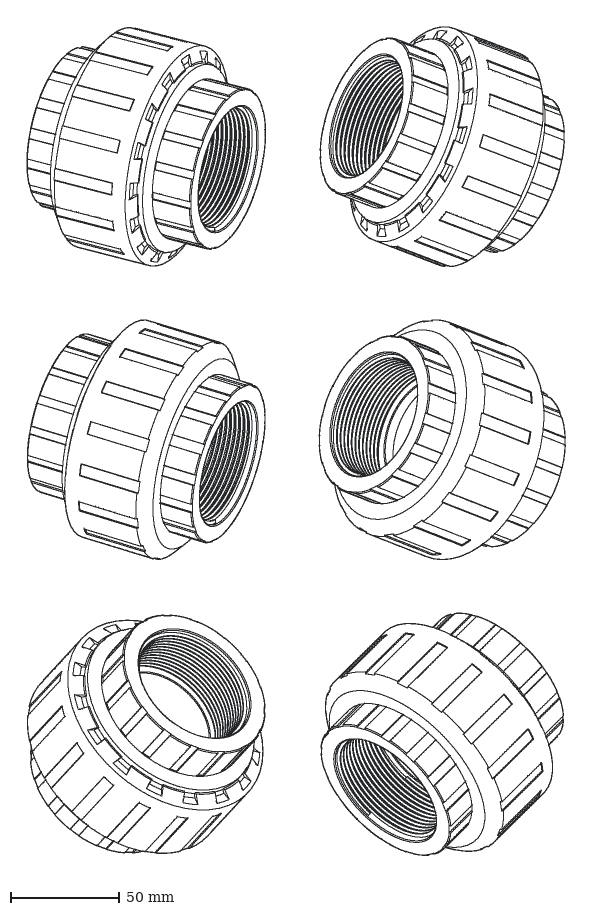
import cadquery as cq
import math


total_length = 85.3
nut_start = 16.3
nut_end = 61.5
joint_x = 35.1

sleeve_radius = 38.3
sleeve_chamfer = 0.5
grip_count = 16
grip_pitch = 360 / grip_count
sleeve_groove_depth = 0.7
tail_groove_width = 5.0
fixed_sleeve_groove_width = 3.9

bore_radius = 25.6
bore_chamfer = 0.4
liner_radius = 32.5
socket_radius = 29.8
socket_chamfer = 0.5
socket_depth = 29.8
thread_crest_radius = 28.3
thread_pitch = 2.3
thread_turns = 12
thread_start = 2.1
thread_root_width = 1.8
thread_crest_width = 0.5
thread_start_angle = 21.5
thread_embed = 0.2

flange_radius = 43.0
lip_thickness = 6.8
collar_radius = 44.7
collar_edge_x = 63.8
collar_end = 65.5
collar_end_radius = 38.8

nut_radius = 52.4
nut_face_radius = 45.8
nut_face_length = 5.6
nut_tip_radius = 45.6
nut_tip_length = 2.8
nut_groove_angle = 7.5
nut_groove_depth = 0.6
nut_groove_width = 6.0
nut_groove_end = 51.6
notch_start = 59.6
notch_floor_radius = 46.4
notch_floor_end = 60.8
notch_floor_width = 6.1
notch_flare = 12.0

flange_start = nut_start + lip_thickness


def revolve_about_x(points):
    """Solid of revolution about X from (x, radius) points."""
    return cq.Workplane("XY").polyline(points).close().revolve(360, (0, 0, 0), (1, 0, 0))


def repeat_about_x(cutter, first_angle):
    """Copies of a cutter spaced evenly around the X axis."""
    copies = []
    for i in range(grip_count):
        copy = cutter.rotate((0, 0, 0), (1, 0, 0), first_angle + i * grip_pitch)
        copies.append(copy.val())
    return cq.Workplane("XY").newObject([cq.Compound.makeCompound(copies)])


def grip_groove(x_start, x_end, floor_radius, outer_radius, width):
    """Straight groove cutter on the -Y side with a round floor."""
    bar = cq.Workplane("XY").box(x_end - x_start, outer_radius, width, centered=(False, False, True))
    bar = bar.translate((x_start, -outer_radius, 0))
    core = cq.Workplane("YZ", origin=(x_start, 0, 0)).circle(floor_radius).extrude(x_end - x_start)
    return bar.cut(core)


def sleeve_groove(x_start, x_end, width):
    """Groove cutter for the grip of a sleeve."""
    return grip_groove(x_start, x_end, sleeve_radius - sleeve_groove_depth, flange_radius, width)


def turn_end_for_end(part):
    """Carry a feature from the tail's end of the union to the opposite end."""
    return part.rotate((total_length / 2, 0, 0), (total_length / 2, 0, 1), 180)


def socket_cutter():
    """Plain socket opening at X = 0, with a chamfered mouth."""
    mouth_radius = socket_radius + socket_chamfer
    return revolve_about_x([
        (0, 0),
        (0, mouth_radius),
        (socket_chamfer, socket_radius),
        (socket_depth, socket_radius),
        (socket_depth, bore_radius + bore_chamfer),
        (socket_depth + bore_chamfer, bore_radius),
        (socket_depth + bore_chamfer, 0),
    ])


def socket_thread():
    """Right-hand thread ridge standing inward from the socket wall."""
    root_radius = socket_radius + thread_embed
    half_root = thread_root_width / 2
    half_crest = thread_crest_width / 2
    path = cq.Wire.makeHelix(thread_pitch, thread_turns * thread_pitch, socket_radius)
    ridge = (
        cq.Workplane("XZ")
        .polyline([
            (root_radius, -half_root),
            (thread_crest_radius, -half_crest),
            (thread_crest_radius, half_crest),
            (root_radius, half_root),
        ])
        .close()
        .sweep(cq.Workplane("XY").newObject([path]), isFrenet=True)
    )
    ridge = ridge.rotate((0, 0, 0), (0, 1, 0), 90)
    ridge = ridge.rotate((0, 0, 0), (1, 0, 0), thread_start_angle)
    return ridge.translate((thread_start, 0, 0))


def threaded_liner(length):
    """Inner wall of a sleeve: socket at X = 0 with its thread, then the plain bore."""
    liner = cq.Workplane("YZ").circle(liner_radius).circle(bore_radius).extrude(length)
    return liner.cut(socket_cutter()).union(socket_thread())


def make_tail():
    outer_wall = revolve_about_x([
        (0, liner_radius),
        (0, sleeve_radius - sleeve_chamfer),
        (sleeve_chamfer, sleeve_radius),
        (flange_start, sleeve_radius),
        (flange_start, flange_radius),
        (joint_x, flange_radius),
        (joint_x, liner_radius),
    ])
    groove = sleeve_groove(0, flange_start, tail_groove_width)
    outer_wall = outer_wall.cut(repeat_about_x(groove, 0))
    return outer_wall.union(threaded_liner(joint_x), glue=True)


def make_nut():
    nut = revolve_about_x([
        (nut_start, sleeve_radius),
        (nut_start, nut_face_radius),
        (nut_start + nut_face_length, nut_radius),
        (nut_end - nut_tip_length, nut_radius),
        (nut_end, nut_tip_radius),
        (nut_end, collar_radius),
        (joint_x, collar_radius),
        (joint_x, flange_radius),
        (flange_start, flange_radius),
        (flange_start, sleeve_radius),
    ])
    groove = grip_groove(
        nut_start, nut_groove_end, nut_radius - nut_groove_depth, nut_radius + nut_groove_depth, nut_groove_width
    )
    nut = nut.cut(repeat_about_x(groove, -nut_groove_angle))
    return nut.cut(repeat_about_x(nut_notch(), -nut_groove_angle))


def nut_notch():
    """Flared notch cutter on the -Y side of the nut's open end."""
    half_floor = notch_floor_width / 2
    half_top = half_floor + (nut_radius - collar_radius) * math.tan(math.radians(notch_flare))
    wedge = (
        cq.Workplane("YZ", origin=(notch_start, 0, 0))
        .polyline([
            (-collar_radius, half_floor),
            (-nut_radius, half_top),
            (-nut_radius, -half_top),
            (-collar_radius, -half_floor),
            (0, -half_floor),
            (0, half_floor),
        ])
        .close()
        .extrude(nut_end - notch_start)
    )
    core = revolve_about_x([
        (notch_start, 0),
        (notch_start, notch_floor_radius),
        (notch_floor_end, collar_radius),
        (nut_end, collar_radius),
        (nut_end, 0),
    ])
    return wedge.cut(core)


def make_collar():
    return revolve_about_x([
        (joint_x, sleeve_radius),
        (joint_x, collar_radius),
        (collar_edge_x, collar_radius),
        (collar_end, collar_end_radius),
        (collar_end, sleeve_radius),
    ])


def make_fixed_sleeve():
    outer_wall = revolve_about_x([
        (joint_x, liner_radius),
        (joint_x, sleeve_radius),
        (total_length - sleeve_chamfer, sleeve_radius),
        (total_length, sleeve_radius - sleeve_chamfer),
        (total_length, liner_radius),
    ])
    groove = sleeve_groove(collar_end, total_length, fixed_sleeve_groove_width)
    outer_wall = outer_wall.cut(repeat_about_x(groove, 0))
    return outer_wall.union(turn_end_for_end(threaded_liner(total_length - joint_x)), glue=True)


tail = make_tail()
nut = make_nut()
collar = make_collar()
fixed_sleeve = make_fixed_sleeve()

result = cq.Compound.makeCompound([tail.val(), nut.val(), collar.val(), fixed_sleeve.val()])